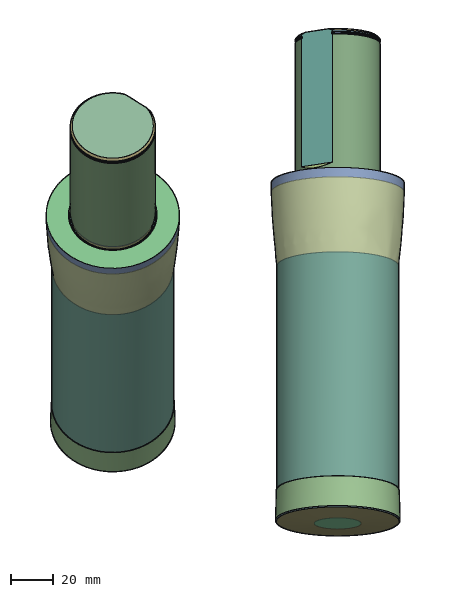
import cadquery as cq

overall_height = 234.0
housing_height = 164.0
collar_rim_bottom = 159.5
collar_bottom = 124.0
foot_top = 16.0
foot_bottom = 1.5
base_rim_height = 0.95

collar_radius = 62.5 / 2
tube_radius = 57.2 / 2
foot_top_radius = 57.7 / 2
foot_radius = 58.5 / 2
base_rim_radius = 57.6 / 2
base_flat_radius = 11.0
collar_bulge = 0.40
foot_bulge = 0.05

rod_radius = 39.99 / 2
neck_radius = 39.5 / 2
neck_exposed_length = 1.1
neck_chamfer_height = 0.8
top_chamfer = 1.0
top_band_height = 1.6
groove_width = 1.3
groove_flank_height = 0.4
flat_distance = 18.0
ramp_foot = housing_height + 3.4
cutter_margin = 1.0

socket_bottom = collar_bottom
socket_mouth_radius = 41.6 / 2
socket_ledge_radius = 40.6 / 2


def bowed_midpoint(start, end, bulge):
    """Point halfway between two profile points, moved outward by the bulge."""
    return ((start[0] + end[0]) / 2 + bulge, (start[1] + end[1]) / 2)


def revolve_profile(profile):
    """Turn a closed radius-height profile about the Z axis."""
    return profile.close().revolve(360, (0, 0, 0), (0, 1, 0))


def make_housing():
    foot_start = (foot_radius, foot_bottom)
    foot_end = (foot_top_radius, foot_top)
    collar_start = (tube_radius, collar_bottom)
    collar_end = (collar_radius, collar_rim_bottom)
    mouth_depth = socket_mouth_radius - socket_ledge_radius
    profile = (
        cq.Workplane("XZ")
        .moveTo(0, 0)
        .lineTo(base_flat_radius, 0)
        .lineTo(base_rim_radius, base_rim_height)
        .lineTo(*foot_start)
        .threePointArc(bowed_midpoint(foot_start, foot_end, foot_bulge), foot_end)
        .lineTo(tube_radius, foot_top)
        .lineTo(*collar_start)
        .threePointArc(bowed_midpoint(collar_start, collar_end, collar_bulge), collar_end)
        .lineTo(collar_radius, housing_height)
        .lineTo(socket_mouth_radius, housing_height)
        .lineTo(socket_ledge_radius, housing_height - mouth_depth)
        .lineTo(neck_radius, housing_height - mouth_depth)
        .lineTo(neck_radius, socket_bottom)
        .lineTo(0, socket_bottom)
    )
    return revolve_profile(profile)


def make_rod():
    neck_top = housing_height + neck_exposed_length
    groove_top = overall_height - top_band_height
    groove_bottom = groove_top - groove_width
    profile = (
        cq.Workplane("XZ")
        .moveTo(0, socket_bottom)
        .lineTo(neck_radius, socket_bottom)
        .lineTo(neck_radius, neck_top)
        .lineTo(rod_radius, neck_top + neck_chamfer_height)
        .lineTo(rod_radius, groove_bottom)
        .lineTo(neck_radius, groove_bottom + groove_flank_height)
        .lineTo(neck_radius, groove_top - groove_flank_height)
        .lineTo(rod_radius, groove_top)
        .lineTo(rod_radius, overall_height - top_chamfer)
        .lineTo(rod_radius - top_chamfer, overall_height)
        .lineTo(0, overall_height)
    )
    return revolve_profile(profile).cut(make_flat_cutter())


def make_flat_cutter():
    """Block that leaves the flat on the +Y side, running out in a 45 degree ramp."""
    outer = rod_radius + cutter_margin
    flat_bottom = ramp_foot + rod_radius - flat_distance
    return (
        cq.Workplane("YZ")
        .moveTo(flat_distance, overall_height)
        .lineTo(flat_distance, flat_bottom)
        .lineTo(outer, ramp_foot - cutter_margin)
        .lineTo(outer, overall_height)
        .close()
        .extrude(rod_radius, both=True)
    )


housing = make_housing()
rod = make_rod()

result = cq.Compound.makeCompound([housing.val(), rod.val()])